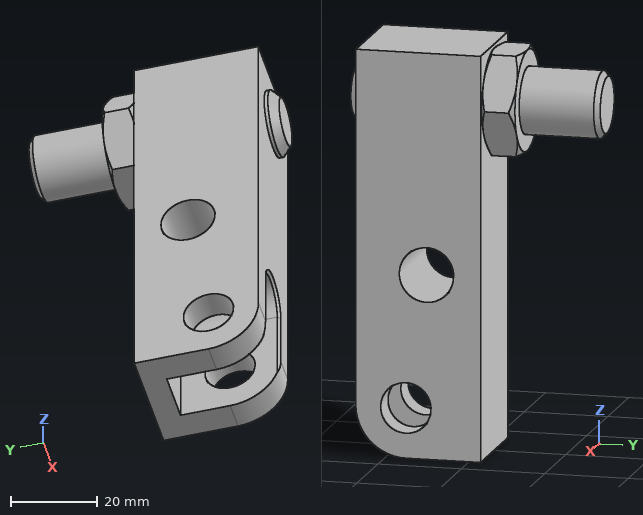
import cadquery as cq
import math

body_width = 26.2
body_depth = 30.0
body_height = 97.0
corner_radius = 12.0

pivot_diameter = 12.0
upper_hole_diameter = 13.0
upper_hole_y = 17.0
upper_hole_z = 44.0

slot_width = 12.2
slot_top = 32.5
slot_depth = 24.0
slot_chamfer = 0.7

stud_z = 84.0
stud_diameter = 16.0
stud_front_length = 3.0
stud_back_length = 27.1
stud_front_chamfer = 2.1
stud_back_chamfer = 1.3
nut_across_flats = 24.1
nut_thickness = 8.0
nut_chamfer_angle = 30.0


def cross_hole(diameter, y, z):
    """Cylinder along X that passes through the whole body."""
    return (
        cq.Workplane("YZ", origin=(0, y, z))
        .circle(diameter / 2)
        .extrude(body_width, both=True)
    )


def make_body():
    """Bar with a rounded lower front edge."""
    bar = cq.Workplane("XY").box(body_width, body_depth, body_height, centered=(True, False, False))
    return bar.edges("<Y and <Z").fillet(corner_radius)


def make_slot():
    """Round-topped slot with a 45 degree chamfer where it enters the front face."""
    half_width = slot_width / 2
    arc_z = slot_top - half_width

    def outline(plane, half, bottom):
        return (
            plane.moveTo(-half, bottom)
            .lineTo(-half, arc_z)
            .threePointArc((0, arc_z + half), (half, arc_z))
            .lineTo(half, bottom)
            .close()
        )

    slot = outline(cq.Workplane("XZ"), half_width, 0).extrude(-slot_depth)
    entry = outline(cq.Workplane("XZ"), half_width + slot_chamfer, -slot_width).extrude(
        -(half_width + slot_chamfer) / 2, taper=45
    )
    return slot.union(entry)


def make_stud():
    """Round stud through the body, chamfered at both ends."""
    length = stud_front_length + body_depth + stud_back_length
    return (
        cq.Workplane("XZ", origin=(0, -stud_front_length, stud_z))
        .circle(stud_diameter / 2)
        .extrude(-length)
        .faces("<Y")
        .chamfer(stud_front_chamfer)
        .faces(">Y")
        .chamfer(stud_back_chamfer)
    )


def make_nut():
    """Hexagon nut with corners on X, bevelled by a cone on both faces."""
    face_radius = nut_across_flats / 2
    corner_to_corner = nut_across_flats / math.cos(math.radians(30))
    middle = nut_thickness / 2
    middle_radius = face_radius + middle / math.tan(math.radians(nut_chamfer_angle))
    hexagon = (
        cq.Workplane("XZ", origin=(0, body_depth, stud_z))
        .polygon(6, corner_to_corner)
        .extrude(-nut_thickness)
    )
    bevel = (
        cq.Workplane("XY", origin=(0, body_depth, stud_z))
        .polyline([(0, 0), (face_radius, 0), (middle_radius, middle),
                   (face_radius, nut_thickness), (0, nut_thickness)])
        .close()
        .revolve(360, (0, 0, 0), (0, 1, 0))
    )
    return hexagon.intersect(bevel)


result = (
    make_body()
    .cut(make_slot())
    .cut(cross_hole(pivot_diameter, corner_radius, corner_radius))
    .cut(cross_hole(upper_hole_diameter, upper_hole_y, upper_hole_z))
    .union(make_stud())
    .union(make_nut())
)